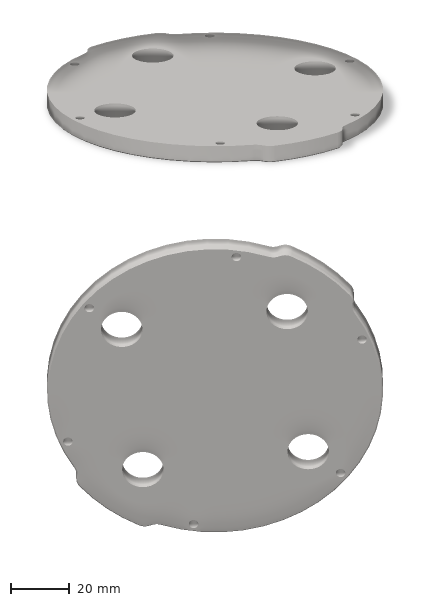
import cadquery as cq
import math

thickness = 6.0
disc_radius = 57.0
ear_radius = 60.0
bottom_chamfer = 0.5

flank_slope = 30.0
flank_crossing = 48.4
flank_fillet = 4.8

large_hole_diameter = 14.0
large_hole_circle_radius = 40.0
large_hole_count = 4
screw_hole_diameter = 3.2
screw_hole_circle_radius = 53.9
screw_hole_count = 6
first_hole_angle = 90.0


def make_ears():
    """Trim the larger disc with a rhombus so that only the ears pass the main disc."""
    tip = flank_crossing / math.tan(math.radians(flank_slope))
    corners = [(tip, 0), (0, flank_crossing), (-tip, 0), (0, -flank_crossing)]
    rhombus = cq.Workplane("XY").polyline(corners).close().extrude(thickness)
    return cq.Workplane("XY").circle(ear_radius).extrude(thickness).intersect(rhombus)


def make_plate():
    """Disc with ears, rounded flank ends and a chamfered bottom rim."""
    disc = cq.Workplane("XY").circle(disc_radius).extrude(thickness)
    plate = disc.union(make_ears()).clean()
    plate = plate.edges("|Z").fillet(flank_fillet)
    return plate.faces("<Z").edges().chamfer(bottom_chamfer)


def cut_hole_ring(plate, diameter, circle_radius, count):
    """Cut evenly spaced through holes on a circle about the plate centre."""
    return (
        plate.faces(">Z")
        .workplane(origin=(0, 0, thickness))
        .polarArray(circle_radius, first_hole_angle, 360, count)
        .hole(diameter)
    )


result = make_plate()
result = cut_hole_ring(result, large_hole_diameter, large_hole_circle_radius, large_hole_count)
result = cut_hole_ring(result, screw_hole_diameter, screw_hole_circle_radius, screw_hole_count)